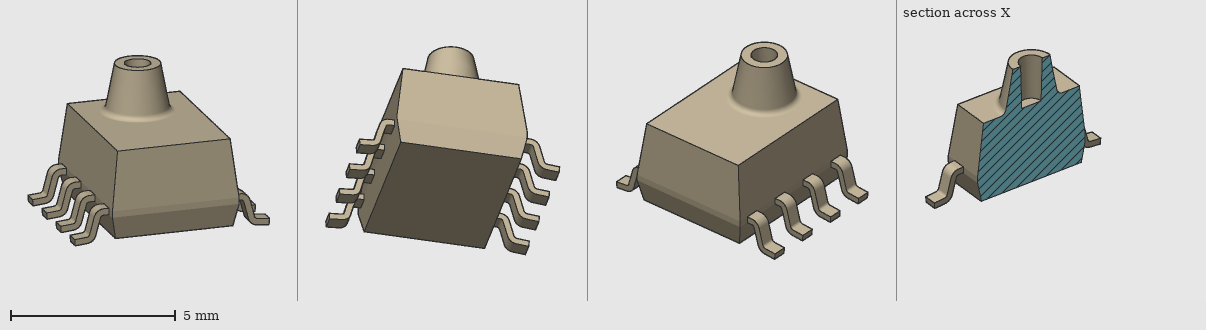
import cadquery as cq
import math

BODY_LENGTH = 5.1
BODY_WIDTH = 4.055
TOP_INSET_X = 0.18
TOP_INSET_Y = 0.225
BOTTOM_INSET = 0.15
BODY_BOTTOM = 0.16
BAND_TOP = 1.09
BODY_TOP = 2.945

LEAD_THICKNESS = 0.205
LEAD_WIDTH = 0.45
LEAD_PITCH = 1.32
LEADS_PER_SIDE = 4
LEAD_SPAN = 6.24
SHOULDER_Y = 2.435
LEG_LEAN = 15.0
FOOT_SLOPE = 5.0
INNER_BEND_RADIUS = 0.105
LEAD_EMBED = 0.125
BAND_BOTTOM = BAND_TOP - LEAD_THICKNESS

PORT_X = -1.05
PORT_TOP = 4.47
PORT_TOP_RADIUS = 0.705
PORT_BASE_RADIUS = 1.0
PORT_FILLET = 0.2
BORE_TOP_RADIUS = 0.4
BORE_BOTTOM_RADIUS = 0.355


def tapered_block(z_wide, z_narrow, inset_x, inset_y):
    """Block that has the full body outline at z_wide and is inset at z_narrow."""
    return (
        cq.Workplane("XY", origin=(0, 0, z_wide))
        .rect(BODY_LENGTH, BODY_WIDTH)
        .workplane(offset=z_narrow - z_wide)
        .rect(BODY_LENGTH - 2 * inset_x, BODY_WIDTH - 2 * inset_y)
        .loft(ruled=True)
    )


def make_body():
    band = cq.Workplane("XY", origin=(0, 0, BAND_BOTTOM)).rect(BODY_LENGTH, BODY_WIDTH).extrude(LEAD_THICKNESS)
    upper = tapered_block(BAND_TOP, BODY_TOP, TOP_INSET_X, TOP_INSET_Y)
    lower = tapered_block(BAND_BOTTOM, BODY_BOTTOM, BOTTOM_INSET, BOTTOM_INSET)
    return band.union(upper).union(lower)


def add_port(body):
    """Conical port with a filleted foot."""
    port = (
        cq.Workplane("XY", origin=(PORT_X, 0, BODY_TOP))
        .circle(PORT_BASE_RADIUS)
        .workplane(offset=PORT_TOP - BODY_TOP)
        .circle(PORT_TOP_RADIUS)
        .loft(ruled=True)
    )
    foot_edge = cq.selectors.NearestToPointSelector((PORT_X, 0, BODY_TOP))
    return body.union(port).edges(foot_edge).fillet(PORT_FILLET)


def make_bore():
    """Slightly tapered blind bore, as deep as the port is tall."""
    return (
        cq.Workplane("XY", origin=(PORT_X, 0, BODY_TOP))
        .circle(BORE_BOTTOM_RADIUS)
        .workplane(offset=PORT_TOP - BODY_TOP)
        .circle(BORE_TOP_RADIUS)
        .loft(ruled=True)
    )


def mitred_point(corner, angle_in, angle_out):
    """Point on the underside of the lead that faces a corner of its upper side.

    The angles are the downward slopes, in degrees, before and after the corner.
    """
    middle = math.radians((angle_in + angle_out) / 2)
    reach = LEAD_THICKNESS / math.cos(math.radians((angle_out - angle_in) / 2))
    return (corner[0] - reach * math.sin(middle), corner[1] - reach * math.cos(middle))


def make_lead():
    """Lead on the +Y side, centred on X = 0."""
    leg_slope = 90 - LEG_LEAN
    lean_tan = math.tan(math.radians(LEG_LEAN))
    foot_tan = math.tan(math.radians(FOOT_SLOPE))

    root = (BODY_WIDTH / 2 - LEAD_EMBED, BAND_TOP)
    shoulder = (SHOULDER_Y, BAND_TOP)
    toe = (LEAD_SPAN / 2, LEAD_THICKNESS * math.cos(math.radians(FOOT_SLOPE)))
    drop = (BAND_TOP - toe[1] - (toe[0] - SHOULDER_Y) * foot_tan) / (1 - lean_tan * foot_tan)
    ankle = (SHOULDER_Y + drop * lean_tan, BAND_TOP - drop)

    shoulder_under = mitred_point(shoulder, 0, leg_slope)
    ankle_under = mitred_point(ankle, leg_slope, FOOT_SLOPE)
    outline = [
        root,
        shoulder,
        ankle,
        toe,
        mitred_point(toe, FOOT_SLOPE, FOOT_SLOPE),
        ankle_under,
        shoulder_under,
        mitred_point(root, 0, 0),
    ]
    lead = cq.Workplane("YZ").polyline(outline).close().extrude(LEAD_WIDTH / 2, both=True)

    bends = (
        (shoulder, INNER_BEND_RADIUS + LEAD_THICKNESS),
        (shoulder_under, INNER_BEND_RADIUS),
        (ankle, INNER_BEND_RADIUS),
        (ankle_under, INNER_BEND_RADIUS + LEAD_THICKNESS),
    )
    for (y, z), radius in bends:
        lead = lead.edges(cq.selectors.NearestToPointSelector((0, y, z))).fillet(radius)
    return lead


result = add_port(make_body()).cut(make_bore())

lead = make_lead()
for index in range(LEADS_PER_SIDE):
    x = (index - (LEADS_PER_SIDE - 1) / 2) * LEAD_PITCH
    back_lead = lead.translate((x, 0, 0))
    result = result.union(back_lead).union(back_lead.mirror("XZ"))